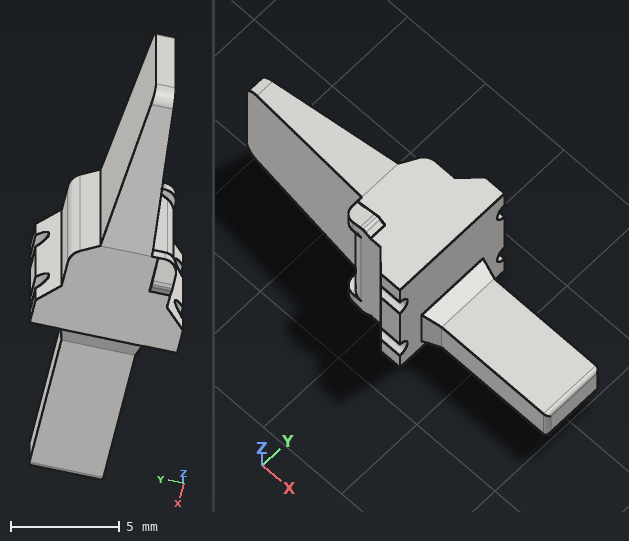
import cadquery as cq

total_length = 20.45
body_front = 8.08
body_back = 12.7
body_length = body_back - body_front

body_height = 7.73
flange_half_width = 3.5
neck_half_width = 2.5
flange_thickness = 1.2
front_half_width = 1.23
bevel_length = 0.7
bevel_radius = 0.82

tab_height = 8.2
tab_inner_y = 1.51
tab_corner_radius = 0.65
tab_crest_start = 1.1
tab_crest_peak = 1.29
tab_crest_end = 1.47
tab_end = 1.78
tab_crest_front_drop = 0.02
tab_crest_back_drop = 0.06
recess_height = 6.34

notch_radius = 0.57
notch_depth = 0.51
notch_spacing = 4.2

blade_tip_half_width = 0.47
blade_tip_half_height = 3.2
blade_tip_radius = 0.78

shank_center_z = -1.92
shank_width = 3.52
shank_height = 2.05
shank_root_width = 4.1
shank_root_height = 2.6
shank_taper_length = 1.0
shank_end_radius = 0.25


def make_body():
    """Flanged block with two rounded bevels on its front."""
    flange_front = body_back - flange_thickness
    slope_start = flange_front - (flange_half_width - neck_half_width)
    half_outline = [
        (body_front, front_half_width),
        (body_front + bevel_length, neck_half_width),
        (slope_start, neck_half_width),
        (flange_front, flange_half_width),
        (body_back, flange_half_width),
    ]
    mirrored = [(x, -y) for x, y in reversed(half_outline)]
    block = cq.Workplane("XY").polyline(half_outline + mirrored).close().extrude(body_height / 2, both=True)
    bevel_corners = cq.selectors.BoxSelector(
        (body_front + bevel_length / 2, -flange_half_width, -body_height),
        (body_front + bevel_length * 1.5, flange_half_width, body_height),
    )
    return block.edges("|Z").edges(bevel_corners).fillet(bevel_radius)


def cut_notches(body):
    """Round notches running along X through both flange edges."""
    center_y = flange_half_width + notch_radius - notch_depth
    centers = [(y, z) for y in (-center_y, center_y) for z in (-notch_spacing / 2, notch_spacing / 2)]
    cutters = (
        cq.Workplane("YZ", origin=(body_front, 0, 0))
        .pushPoints(centers)
        .circle(notch_radius)
        .extrude(body_length)
    )
    return body.cut(cutters)


def make_tabs():
    """Square out the -Y front corner at both ends and raise a crest above each end face."""
    half_body = body_height / 2
    half_recess = recess_height / 2
    half_tab = tab_height / 2

    corner = (
        cq.Workplane("XY", origin=(0, 0, half_recess))
        .moveTo(body_front, -front_half_width)
        .lineTo(body_front, -neck_half_width)
        .lineTo(body_front + tab_end, -neck_half_width)
        .lineTo(body_front + tab_end, -front_half_width)
        .close()
        .extrude(half_body - half_recess)
    )
    crest = (
        cq.Workplane("XZ", origin=(0, -tab_inner_y, 0))
        .moveTo(body_front, half_recess)
        .lineTo(body_front, half_body)
        .lineTo(body_front + tab_crest_start, half_tab - tab_crest_front_drop)
        .tangentArcPoint((body_front + tab_crest_peak, half_tab), relative=False)
        .tangentArcPoint((body_front + tab_crest_end, half_tab - tab_crest_back_drop), relative=False)
        .lineTo(body_front + tab_end, half_body)
        .lineTo(body_front + tab_end, half_recess)
        .close()
        .extrude(neck_half_width - tab_inner_y)
    )
    tab = corner.union(crest).edges("|Z and <X and <Y").fillet(tab_corner_radius)
    return tab.union(tab.mirror("XY"))


def make_blade():
    """Blade tapering in width and height towards a tip with rounded corners."""
    side = (
        cq.Workplane("XZ")
        .polyline([
            (0, -blade_tip_half_height),
            (body_front, -body_height / 2),
            (body_front, body_height / 2),
            (0, blade_tip_half_height),
        ])
        .close()
        .extrude(front_half_width, both=True)
        .edges("|Y and <X")
        .fillet(blade_tip_radius)
    )
    plan = (
        cq.Workplane("XY")
        .polyline([
            (0, -blade_tip_half_width),
            (body_front, -front_half_width),
            (body_front, front_half_width),
            (0, blade_tip_half_width),
        ])
        .close()
        .extrude(body_height / 2, both=True)
    )
    return side.intersect(plan)


def make_shank():
    """Rectangular shank with a flared root and a rounded end."""
    root = (
        cq.Workplane("YZ", origin=(body_back, 0, shank_center_z))
        .rect(shank_root_width, shank_root_height)
        .workplane(offset=shank_taper_length)
        .rect(shank_width, shank_height)
        .loft(ruled=True)
    )
    bar_start = body_back + shank_taper_length
    bar = (
        cq.Workplane("YZ", origin=(bar_start, 0, shank_center_z))
        .rect(shank_width, shank_height)
        .extrude(total_length - bar_start)
        .faces(">X")
        .edges()
        .fillet(shank_end_radius)
    )
    return root.union(bar)


body = cut_notches(make_body()).union(make_tabs())
result = body.union(make_blade()).union(make_shank()).clean()